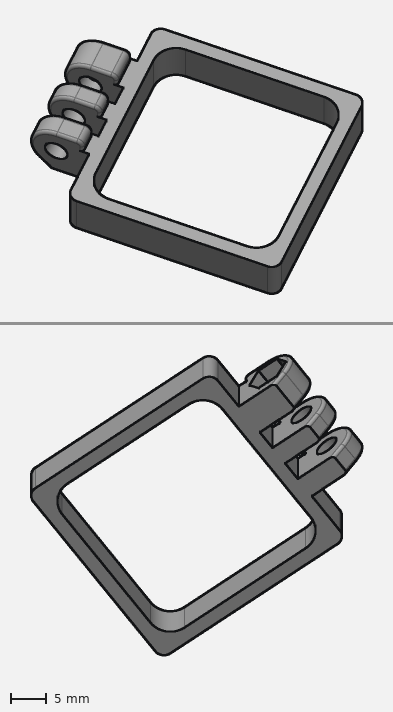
import cadquery as cq
import math

frame_side = 32.0
frame_height = 6.5
wall = 2.1
outer_corner_radius = 1.5
inner_corner_radius = 3.4

knuckle_radius = 4.0
axis_height = 4.5
axis_to_frame = 5.0
pin_hole_diameter = 3.4
shoulder_gap = 0.9
shoulder_radius = 1.0
edge_fillet = 0.5
knuckle_spans = [(-7.85, -4.5), (-1.5, 1.5), (4.5, 9.5)]

nut_across_flats = 5.5
nut_recess_depth = 3.0

frame_face_x = -frame_side / 2
axis_x = frame_face_x - axis_to_frame
shoulder_x = frame_face_x - shoulder_gap
knuckle_top = axis_height + knuckle_radius


def make_frame():
    opening_side = frame_side - 2 * wall
    body = cq.Workplane("XY").rect(frame_side, frame_side).extrude(frame_height)
    body = body.edges("|Z").fillet(outer_corner_radius)
    opening = cq.Workplane("XY").rect(opening_side, opening_side).extrude(frame_height)
    opening = opening.edges("|Z").fillet(inner_corner_radius)
    return body.cut(opening)


def make_eye(y_start, width):
    """Rounded knuckle head with its two side outlines filleted."""
    tangent_offset = knuckle_radius * math.sqrt(0.5)
    slope_foot_x = axis_x - knuckle_radius * math.sqrt(2) + axis_height
    eye = (
        cq.Workplane("XZ", origin=(0, y_start, 0))
        .moveTo(slope_foot_x, 0)
        .lineTo(axis_x - tangent_offset, axis_height - tangent_offset)
        .threePointArc((axis_x - knuckle_radius, axis_height), (axis_x, knuckle_top))
        .lineTo(shoulder_x - shoulder_radius, knuckle_top)
        .radiusArc((shoulder_x, knuckle_top - shoulder_radius), shoulder_radius)
        .lineTo(shoulder_x, 0)
        .close()
        .extrude(-width)
    )
    above_bottom = cq.selectors.BoxSelector(
        (axis_x - 2 * knuckle_radius, y_start - width, edge_fillet / 2),
        (frame_face_x, y_start + 2 * width, 2 * knuckle_top),
    )
    return eye.faces("<Y or >Y").edges(above_bottom).fillet(edge_fillet)


def make_knuckle(y_start, y_end):
    width = y_end - y_start
    web_length = axis_to_frame + wall / 2
    web = cq.Workplane("XY").box(web_length, width, frame_height, centered=False)
    web = web.translate((axis_x, y_start, 0))
    return make_eye(y_start, width).union(web)


def make_pin_hole():
    return (
        cq.Workplane("XZ", origin=(axis_x, 0, axis_height))
        .circle(pin_hole_diameter / 2)
        .extrude(frame_side, both=True)
    )


def make_nut_recess():
    """Hexagonal prism with two corners pointing along X, sunk from the +Y side."""
    nut_across_corners = nut_across_flats / math.cos(math.pi / 6)
    outer_side_y = max(y_end for _, y_end in knuckle_spans)
    return (
        cq.Workplane("XZ", origin=(axis_x, outer_side_y, axis_height))
        .polygon(6, nut_across_corners)
        .extrude(nut_recess_depth)
    )


result = make_frame()
for span_start, span_end in knuckle_spans:
    result = result.union(make_knuckle(span_start, span_end))
result = result.cut(make_pin_hole())
result = result.cut(make_nut_recess())